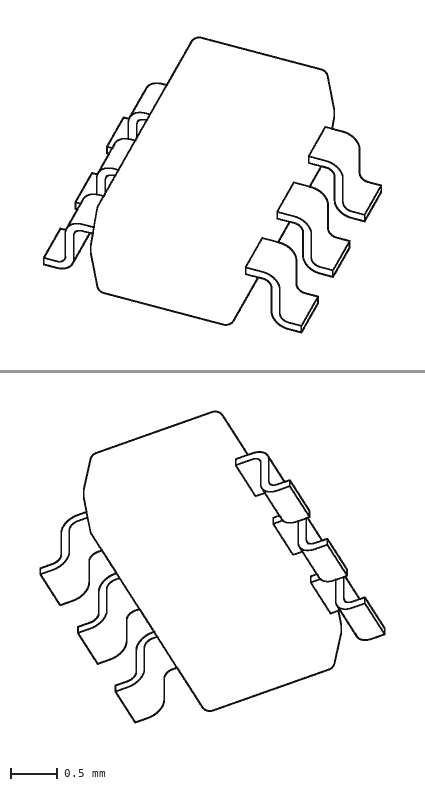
import cadquery as cq
import math

body_width = 1.7
body_length = 3.1
body_height = 1.3
body_clearance = 0.05
body_draft = 6.0
body_edge_radius = 0.1

lead_span = 3.0
lead_width = 0.502
lead_thickness = 0.1
lead_pitch = 0.95
leads_per_side = 3
bend_inner_radius = 0.1
toe_length = 0.152
lower_bend_middle = -45
upper_bend_middle = 135

belt_height = lead_thickness
half_height = (body_height - belt_height) / 2
belt_bottom = body_clearance + half_height
belt_top = belt_bottom + belt_height
bend_outer_radius = bend_inner_radius + lead_thickness


def make_drafted_half(belt_face_z, direction):
    """Half of the body that narrows away from the belt; direction is +1 for up, -1 for down."""
    inset = half_height * math.tan(math.radians(body_draft))
    return (
        cq.Workplane("XY")
        .workplane(offset=belt_face_z)
        .rect(body_width, body_length)
        .workplane(offset=direction * half_height)
        .rect(body_width - 2 * inset, body_length - 2 * inset)
        .loft(ruled=True)
    )


def make_body():
    """Moulded body with rounded corners and rims, and sharp belt edges."""
    belt = (
        cq.Workplane("XY")
        .workplane(offset=belt_bottom)
        .rect(body_width, body_length)
        .extrude(belt_height)
    )
    upper_half = make_drafted_half(belt_top, 1)
    lower_half = make_drafted_half(belt_bottom, -1)
    blank = belt.union(upper_half).union(lower_half)
    belt_edges = "#Z and (not >Z) and (not <Z)"
    return blank.edges(f"not ({belt_edges})").fillet(body_edge_radius)


def bend_point(center_x, center_z, radius, degrees):
    """Point on a bend circle in the XZ plane."""
    angle = math.radians(degrees)
    return (center_x + radius * math.cos(angle), center_z + radius * math.sin(angle))


def make_lead(center_y):
    """Lead on the -X side: foot, bend up, riser, bend inward, shoulder butting on the belt."""
    toe_x = -lead_span / 2
    foot_end_x = toe_x + toe_length
    riser_inner_x = foot_end_x + bend_outer_radius
    riser_outer_x = riser_inner_x - lead_thickness
    shoulder_start_x = riser_outer_x + bend_outer_radius
    root_x = -body_width / 2
    lower_center = (foot_end_x, bend_outer_radius)
    upper_center = (shoulder_start_x, belt_top - bend_outer_radius)

    profile = (
        cq.Workplane("XZ", origin=(0, center_y, 0))
        .moveTo(toe_x, 0)
        .lineTo(foot_end_x, 0)
        .threePointArc(
            bend_point(*lower_center, bend_outer_radius, lower_bend_middle),
            (riser_inner_x, bend_outer_radius),
        )
        .lineTo(riser_inner_x, belt_top - bend_outer_radius)
        .threePointArc(
            bend_point(*upper_center, bend_inner_radius, upper_bend_middle),
            (shoulder_start_x, belt_bottom),
        )
        .lineTo(root_x, belt_bottom)
        .lineTo(root_x, belt_top)
        .lineTo(shoulder_start_x, belt_top)
        .threePointArc(
            bend_point(*upper_center, bend_outer_radius, upper_bend_middle),
            (riser_outer_x, belt_top - bend_outer_radius),
        )
        .lineTo(riser_outer_x, bend_outer_radius)
        .threePointArc(
            bend_point(*lower_center, bend_inner_radius, lower_bend_middle),
            (foot_end_x, lead_thickness),
        )
        .lineTo(toe_x, lead_thickness)
        .close()
    )
    return profile.extrude(lead_width / 2, both=True)


def make_leads():
    """Rows of leads on the -X and +X sides, each row centred along Y."""
    leads = []
    for index in range(leads_per_side):
        lead = make_lead((index - (leads_per_side - 1) / 2) * lead_pitch)
        leads.append(lead)
        leads.append(lead.mirror("YZ"))
    return leads


body = make_body()
leads = make_leads()
result = cq.Compound.makeCompound([body.val(), *[lead.val() for lead in leads]])